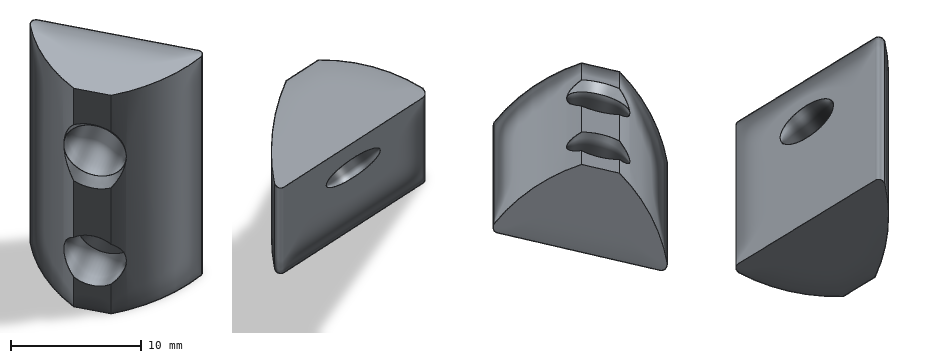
import cadquery as cq
import math

width = 13.7
depth = 7.0
length = 22.0

front_flat_width = 3.0
side_height = 0.64
corner_radius = 0.45
flank_mid_x = 4.7
flank_mid_y = -4.14

hole_diameter = 5.0
hole_radius = hole_diameter / 2
through_hole_z = 15.5
countersink_depth = 0.7
blind_hole_z = 5.0
blind_hole_depth = 4.0
drill_tip_angle = 118.0


def make_body():
    """Extrude the symmetric half-barrel section and round its back corners."""
    half_width = width / 2
    half_flat = front_flat_width / 2
    section = (
        cq.Workplane("XY")
        .moveTo(-half_width, 0)
        .lineTo(half_width, 0)
        .lineTo(half_width, -side_height)
        .threePointArc((flank_mid_x, flank_mid_y), (half_flat, -depth))
        .lineTo(-half_flat, -depth)
        .threePointArc((-flank_mid_x, flank_mid_y), (-half_width, -side_height))
        .close()
    )
    body = section.extrude(length)
    return body.faces(">Y").edges("|Z").fillet(corner_radius)


def front_cylinder(z, hole_depth):
    """Cylinder entering the front flat along +Y."""
    return cq.Solid.makeCylinder(
        hole_radius, hole_depth, cq.Vector(0, -depth, z), cq.Vector(0, 1, 0)
    )


def front_cone(z, start_depth, start_radius, end_radius, height):
    """Cone along +Y that starts at a given depth below the front flat."""
    base = cq.Vector(0, start_depth - depth, z)
    return cq.Solid.makeCone(start_radius, end_radius, height, base, cq.Vector(0, 1, 0))


body = make_body()

body = body.cut(front_cylinder(through_hole_z, depth))
countersink_radius = hole_radius + countersink_depth
body = body.cut(front_cone(through_hole_z, 0, countersink_radius, hole_radius, countersink_depth))

tip_height = hole_radius / math.tan(math.radians(drill_tip_angle / 2))
body = body.cut(front_cylinder(blind_hole_z, blind_hole_depth))
body = body.cut(front_cone(blind_hole_z, blind_hole_depth, hole_radius, 0, tip_height))

result = body